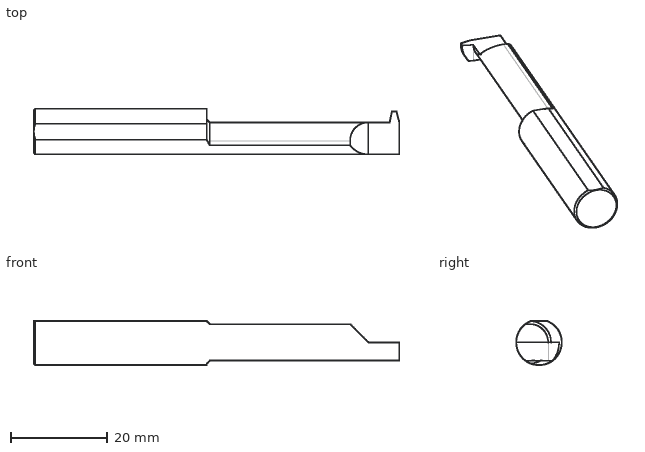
import cadquery as cq

total_length = 76.2
shank_diameter = 9.5
shank_radius = shank_diameter / 2
shank_length = 36.1
shank_chamfer = 0.4
height_over_flat = 9.2
flat_height = height_over_flat - shank_radius

neck_radius = 3.8
neck_center_y = -1.9
shoulder_size = 0.6
shoulder_angle = 45

ramp_end = 69.7
cutting_face_z = 0.0

tooth_tip_y = 4.2
tooth_root_start = 74.15
tooth_tip_start = 74.6
tooth_tip_end = 75.6
neck_back_y = neck_center_y + neck_radius


def rod(radius, start, end, center_y=0):
    """Round rod along X."""
    plane = cq.Workplane("YZ", origin=(start, center_y, 0))
    return plane.circle(radius).extrude(end - start)


def neck_section(offset, start):
    """D-shaped wire, rounded at the back and square at the front, grown by an offset."""
    radius = neck_radius + offset
    front = -shank_diameter - neck_center_y
    return (
        cq.Workplane("YZ", origin=(start, neck_center_y, 0))
        .moveTo(front, -radius)
        .lineTo(0, -radius)
        .threePointArc((radius, 0), (0, radius))
        .lineTo(front, radius)
        .close()
    )


def make_shank():
    body = rod(shank_radius, 0, shank_length).faces("<X").chamfer(shank_chamfer)
    above_flat = cq.Workplane("XY", origin=(shank_length / 2, 0, flat_height)).box(
        shank_length, shank_diameter, shank_diameter, centered=(True, True, False)
    )
    return body.cut(above_flat)


def make_neck():
    straight = neck_section(0, shank_length).extrude(total_length - shank_length)
    taper = neck_section(shoulder_size, shank_length).extrude(shoulder_size, taper=shoulder_angle)
    envelope = rod(shank_radius, shank_length, total_length)
    return straight.union(taper).intersect(envelope)


def make_tooth():
    blade = (
        cq.Workplane("XY", origin=(0, 0, -neck_radius))
        .polyline([
            (tooth_root_start, neck_center_y),
            (tooth_root_start, neck_back_y),
            (tooth_tip_start, tooth_tip_y),
            (tooth_tip_end, tooth_tip_y),
            (total_length, neck_back_y),
            (total_length, neck_center_y),
        ])
        .close()
        .extrude(neck_radius + cutting_face_z)
    )
    relief = rod(tooth_tip_y - neck_center_y, ramp_end, total_length, neck_center_y)
    return blade.intersect(relief)


def make_chip_space():
    ramp_height = 2 * neck_radius
    return (
        cq.Workplane("XZ")
        .polyline([
            (ramp_end, cutting_face_z),
            (ramp_end - ramp_height, cutting_face_z + ramp_height),
            (total_length, cutting_face_z + ramp_height),
            (total_length, cutting_face_z),
        ])
        .close()
        .extrude(shank_diameter, both=True)
    )


result = make_shank().union(make_neck().cut(make_chip_space())).union(make_tooth())